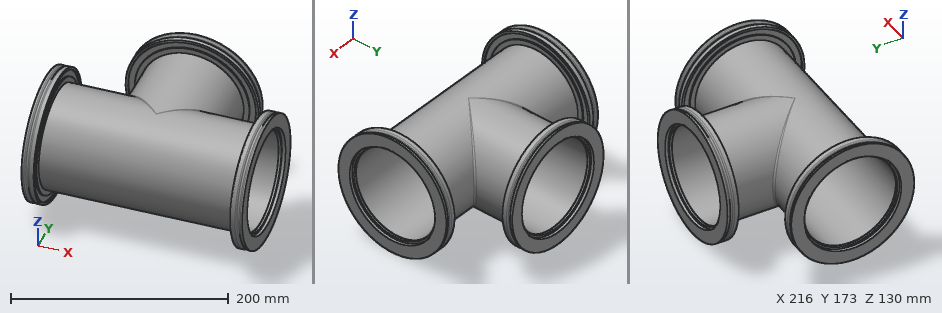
import cadquery as cq
import math

PORT_REACH = 108.0

PIPE_OD = 101.5
PIPE_BORE = 97.5
PIPE_RADIUS = PIPE_OD / 2
JUNCTION_FILLET = 1.7

FLANGE_OD = 130.0
FLANGE_THICKNESS = 11.9
SEAT_DIAMETER = 102.5
SEAT_DEPTH = 3.5
LIP_BORE = 98.3
LIP_THICKNESS = 2.5
PIPE_STOP = SEAT_DEPTH + LIP_THICKNESS

RIM_GROOVE_START = 2.2
SHOULDER_WIDTH = 1.5
ROOT_WIDTH = 2.2
GROOVE_FLANK_ANGLE = math.radians(68)

BACK_GROOVE_ID = 112.3
BACK_GROOVE_OD = 125.0
BACK_GROOVE_DEPTH = 1.5

PORT_DIRECTIONS = [(-1, 0, 0), (1, 0, 0), (0, 1, 0)]


def cylinder(diameter, length, start, direction):
    solid = cq.Solid.makeCylinder(diameter / 2, length, cq.Vector(*start), cq.Vector(*direction))
    return cq.Workplane(solid)


def tee_shape(diameter, reach):
    """Solid T made of a run along X and a branch along +Y."""
    run = cylinder(diameter, 2 * reach, (-reach, 0, 0), (1, 0, 0))
    branch = cylinder(diameter, reach, (0, 0, 0), (0, 1, 0))
    return run.union(branch)


def make_pipe_tee():
    reach = PORT_REACH - PIPE_STOP
    outer = tee_shape(PIPE_OD, reach)
    junction = outer.edges("not(%CIRCLE or %LINE)")
    return junction.fillet(JUNCTION_FILLET).cut(tee_shape(PIPE_BORE, reach))


def arc_rise(half_chord):
    """Depth gained by an arc that turns from level to the flank angle over half_chord."""
    return half_chord * math.tan(GROOVE_FLANK_ANGLE / 2)


def make_flange(direction):
    """Flange with its sealing face at PORT_REACH along the given direction."""
    face = [PORT_REACH * component for component in direction]
    inward = [-component for component in direction]

    normal = cq.Vector(0, 0, 1).cross(cq.Vector(*inward))
    plane = cq.Plane(origin=tuple(face), xDir=(0, 0, 1), normal=normal.toTuple())

    rim = FLANGE_OD / 2
    root_start = RIM_GROOVE_START + SHOULDER_WIDTH
    root_end = root_start + ROOT_WIDTH
    groove_end = root_end + SHOULDER_WIDTH
    flank = rim - arc_rise(SHOULDER_WIDTH)
    root = flank - arc_rise(ROOT_WIDTH / 2)
    shoulder_radius = SHOULDER_WIDTH / math.sin(GROOVE_FLANK_ANGLE)
    mid_drop = shoulder_radius * (1 - math.cos(GROOVE_FLANK_ANGLE / 2))
    mid_advance = shoulder_radius * math.sin(GROOVE_FLANK_ANGLE / 2)
    back_groove_floor = FLANGE_THICKNESS - BACK_GROOVE_DEPTH

    section = (
        cq.Workplane(plane)
        .moveTo(SEAT_DIAMETER / 2, 0)
        .lineTo(rim, 0)
        .lineTo(rim, RIM_GROOVE_START)
        .threePointArc((rim - mid_drop, RIM_GROOVE_START + mid_advance), (flank, root_start))
        .threePointArc((root, (root_start + root_end) / 2), (flank, root_end))
        .threePointArc((rim - mid_drop, groove_end - mid_advance), (rim, groove_end))
        .lineTo(rim, FLANGE_THICKNESS)
        .lineTo(BACK_GROOVE_OD / 2, FLANGE_THICKNESS)
        .lineTo(BACK_GROOVE_OD / 2, back_groove_floor)
        .lineTo(BACK_GROOVE_ID / 2, back_groove_floor)
        .lineTo(BACK_GROOVE_ID / 2, FLANGE_THICKNESS)
        .lineTo(PIPE_RADIUS, FLANGE_THICKNESS)
        .lineTo(PIPE_RADIUS, PIPE_STOP)
        .lineTo(LIP_BORE / 2, PIPE_STOP)
        .lineTo(LIP_BORE / 2, SEAT_DEPTH)
        .lineTo(SEAT_DIAMETER / 2, SEAT_DEPTH)
        .close()
    )
    return section.revolve(360, (0, 0), (0, 1))


pipe_tee = make_pipe_tee()
flanges = [make_flange(direction) for direction in PORT_DIRECTIONS]

result = cq.Compound.makeCompound([*pipe_tee.solids().vals(), *[flange.val() for flange in flanges]])